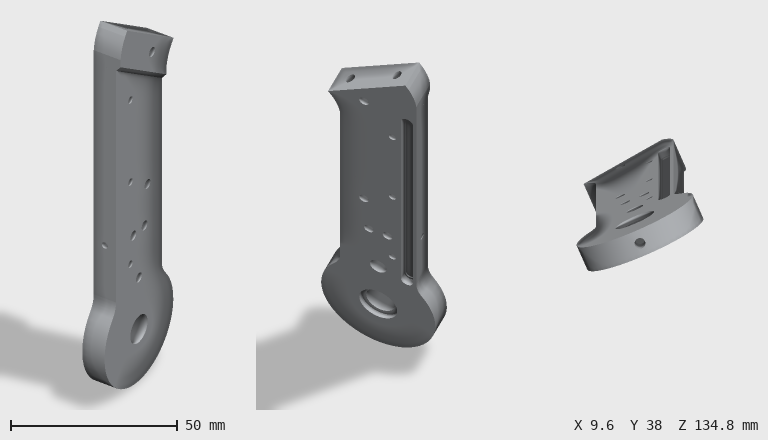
import cadquery as cq
import math


plate_thickness = 8.0
head_thickness = 9.6
eye_radius = 19.0
arm_half_width = 12.7
neck_fillet = 8.0

total_height = 134.8
tip = (-9.0, total_height - eye_radius)
slope_angle = 35.0
heel_y = 16.7
tip_flat = 1.9
corner_radius = 15.9
front_corner_z = 107.2
back_corner_z = 89.3
pad_depth = 11.3

bore_diameter = 9.6
bore_recess_diameter = 12.7
bore_recess_depth = 1.6
pivot_z = eye_radius
pivot_recess_diameter = 5.5
pivot_recess_depth = 3.9
screw_diameter = 3.2
pin_diameter = 2.4
screw_places = [(4.7, 99.8), (4.7, 50.6), (3.1, 36.3), (-3.1, 36.3), (0, pivot_z)]
pin_y = -4.7
pin_first_z = 26.7
pin_pitch = 30.2
pin_count = 3
head_hole_places_y = [11.6, -3.9]
head_hole_depth = 13.1
side_hole_diameter = 2.2
side_hole_z = 36.8
set_screw_diameter = 3.2
set_screw_depth = 8.0

groove_y = -9.6
groove_width = 4.0
groove_bottom_z = 15.4
groove_top_z = 99.0
groove_depth = 2.4
channel_width = 3.2
channel_end_margin = 0.7
channel_depth = 2.8

slope = math.radians(slope_angle)
down_slope = (math.cos(slope), -math.sin(slope))
into_head = (-math.sin(slope), -math.cos(slope))


def slope_z(y):
    """Height of the sloped top face at a given y."""
    return tip[1] - (y - tip[0]) * math.tan(slope)


def offset(point, direction, distance):
    return (point[0] + direction[0] * distance, point[1] + direction[1] * distance)


def cylinder_x(y, z, diameter, depth):
    """Cylinder starting on the -X face and running along +X."""
    return cq.Workplane("YZ").center(y, z).circle(diameter / 2).extrude(depth)


def outline(thickness):
    """Arm, neck and head profile, joined to the round eye."""
    fillet_y = arm_half_width + neck_fillet
    fillet_reach = eye_radius + neck_fillet
    fillet_z = math.sqrt(fillet_reach**2 - fillet_y**2)
    tangent_y = fillet_y * eye_radius / fillet_reach
    tangent_z = fillet_z * eye_radius / fillet_reach
    arm = (
        cq.Workplane("YZ")
        .moveTo(-tangent_y, tangent_z)
        .radiusArc((-arm_half_width, fillet_z), -neck_fillet)
        .lineTo(-arm_half_width, front_corner_z)
        .radiusArc(offset(tip, into_head, tip_flat), corner_radius)
        .lineTo(*tip)
        .lineTo(heel_y, slope_z(heel_y))
        .radiusArc((arm_half_width, back_corner_z), -corner_radius)
        .lineTo(arm_half_width, fillet_z)
        .radiusArc((tangent_y, tangent_z), -neck_fillet)
        .close()
        .extrude(thickness)
    )
    return arm.union(cylinder_x(0, 0, 2 * eye_radius, thickness))


def head_band():
    """Wedge along the sloped face with a 45 degree bevel down to the plate."""
    step = head_thickness - plate_thickness
    frame = cq.Plane(origin=(0, *tip), xDir=(1, 0, 0), normal=(0, *down_slope))
    return (
        cq.Workplane(frame)
        .lineTo(head_thickness, 0)
        .lineTo(head_thickness, pad_depth)
        .lineTo(plate_thickness, pad_depth + step)
        .lineTo(0, pad_depth + step)
        .close()
        .extrude(total_height / 2, both=True)
    )


def head_hole(y):
    """Blind hole drilled square to the sloped face."""
    start = cq.Vector(head_thickness / 2, y, slope_z(y))
    direction = cq.Vector(0, *into_head)
    return cq.Solid.makeCylinder(screw_diameter / 2, head_hole_depth, start, direction)


def groove_slot(width, end_margin, depth):
    """Round-ended slot in the -X face, on the centreline of the groove."""
    length = groove_top_z - groove_bottom_z - 2 * end_margin
    return (
        cq.Workplane("YZ")
        .center(groove_y, (groove_bottom_z + groove_top_z) / 2)
        .slot2D(length, width, 90)
        .extrude(depth)
    )


result = outline(plate_thickness).union(outline(head_thickness).intersect(head_band()))

result = result.cut(cylinder_x(0, 0, bore_diameter, plate_thickness))
result = result.cut(cylinder_x(0, 0, bore_recess_diameter, bore_recess_depth))
result = result.cut(cylinder_x(0, pivot_z, pivot_recess_diameter, pivot_recess_depth))

for y, z in screw_places:
    result = result.cut(cylinder_x(y, z, screw_diameter, head_thickness))
for i in range(pin_count):
    result = result.cut(cylinder_x(pin_y, pin_first_z + i * pin_pitch, pin_diameter, plate_thickness))

for y in head_hole_places_y:
    result = result.cut(head_hole(y))

result = result.cut(groove_slot(groove_width, 0, groove_depth))
result = result.cut(groove_slot(channel_width, channel_end_margin, channel_depth))

side_hole = cq.Solid.makeCylinder(
    side_hole_diameter / 2,
    groove_y + arm_half_width,
    cq.Vector(plate_thickness / 2, -arm_half_width, side_hole_z),
    cq.Vector(0, 1, 0),
)
result = result.cut(side_hole)

set_screw_hole = cq.Solid.makeCylinder(
    set_screw_diameter / 2,
    set_screw_depth,
    cq.Vector(plate_thickness / 2, 0, -eye_radius),
    cq.Vector(0, 0, 1),
)
result = result.cut(set_screw_hole)